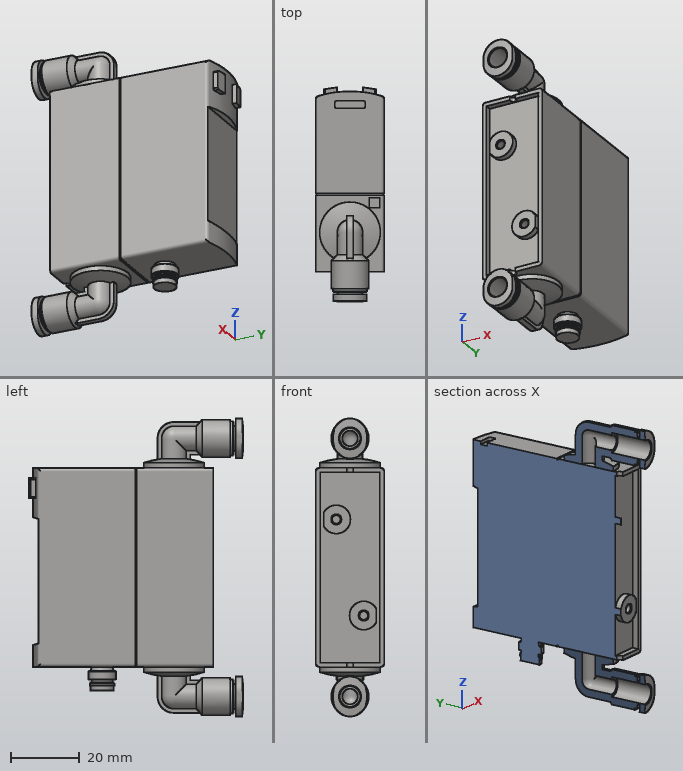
import cadquery as cq
import math

HOUSING_WIDTH = 20.0
HOUSING_HEIGHT = 58.0
SIDE_DEPTH = 51.0
CROWN_RISE = 1.6
EDGE_RADIUS = 1.0
HALF_WIDTH = HOUSING_WIDTH / 2
HALF_HEIGHT = HOUSING_HEIGHT / 2
CROWN_DEPTH = SIDE_DEPTH + CROWN_RISE

RECESS_TOP = 14.6
RECESS_BOTTOM = -22.6
RECESS_DRAFT = 0.5

TAB_INNER_X = 3.75
TAB_OUTER_X = 7.65
TAB_MIDDLE_Z = 23.1
TAB_HEIGHT = 6.0
TAB_CHAMFER = 0.5
TAB_ROOT_Y = SIDE_DEPTH
TAB_INNER_Y = 53.78
TAB_OUTER_Y = 53.2

GROOVE_MIDDLE_Y = 22.6
GROOVE_WIDTH = 0.45
GROOVE_DEPTH = 0.3

WALL = 1.3
POCKET_DEPTH = 2.0
BOSS_DIAMETER = 8.3
BOSS_X = 4.0
BOSS_Z = 14.0
BOSS_FLAT_X = 7.6
SCREW_HOLE_DIAMETER = 2.46
SCREW_HOLE_DEPTH = 6.0
SCREW_HOLE_CHAMFER = 0.3
NOTCH_WIDTH = 1.9
NOTCH_DEPTH = 1.5

SLOT_LENGTH = 8.8
SLOT_WIDTH = 2.2
SLOT_MIDDLE_Y = 48.7
SLOT_DEPTH = 1.0
SLOT_CORNER_RADIUS = 0.5
LABEL_SIZE = 3.0
LABEL_X = 7.1
LABEL_Y = 20.1
LABEL_DEPTH = 0.1

PLUG_Y = 32.4
PLUG_NECK_RADIUS = 3.1
PLUG_RADIUS = 3.4
PLUG_LENGTH = 6.9
PLUG_COLLAR_RADIUS = 4.05
PLUG_COLLAR_START = 1.1
PLUG_COLLAR_END = 3.75
PLUG_COLLAR_CHAMFER = 0.25
PLUG_NECK_END = 4.4
PLUG_BEAD_RADIUS = 3.6
PLUG_BEAD_START = 4.9
PLUG_BEAD_END = 5.4

FITTING_Y = 11.5
TUBE_AXIS_Z = 37.6
ELBOW_RADIUS = 7.4 / 2
BORE_RADIUS = 4.5 / 2
FLANGE_RADIUS = 17.7 / 2
FLANGE_HEIGHT = 1.5
DOME_HEIGHT = 1.4
RIB_WIDTH = 2.0
RIB_REACH = 4.8

SOCKET_RADIUS = 11.0 / 2
SOCKET_CONE_START_Y = 5.0
SOCKET_START_Y = 3.25
SOCKET_END_Y = -4.9
LIP_RADIUS = 10.0 / 2
LIP_END_Y = -5.9
LIP_CHAMFER = 0.3
SLEEVE_RADIUS = 7.4 / 2
RING_START_Y = -6.5
RING_RIM_Y = -8.4
RING_END_Y = -8.7
RING_WIDTH = 9.8
RING_HEIGHT = 11.7
TUBE_SOCKET_RADIUS = 6.0 / 2
MOUTH_RADIUS = 6.5 / 2


def block_between(x_range, y_range, z_range):
    """Plain box given by its limits along each axis."""
    size = [high - low for low, high in (x_range, y_range, z_range)]
    corner = cq.Vector(x_range[0], y_range[0], z_range[0])
    return cq.Workplane(cq.Solid.makeBox(*size, corner))


def crowned_block():
    """Block with rounded long edges and a rear face crowned across X."""
    plan = (
        cq.Workplane("XY", origin=(0, 0, -HALF_HEIGHT))
        .moveTo(-HALF_WIDTH, 0)
        .lineTo(HALF_WIDTH, 0)
        .lineTo(HALF_WIDTH, SIDE_DEPTH)
        .threePointArc((0, CROWN_DEPTH), (-HALF_WIDTH, SIDE_DEPTH))
        .close()
        .extrude(HOUSING_HEIGHT)
        .edges("|Z and (not <Y)")
        .fillet(EDGE_RADIUS)
    )
    profile = (
        cq.Workplane("XZ")
        .rect(HOUSING_WIDTH, HOUSING_HEIGHT)
        .extrude(-CROWN_DEPTH)
        .edges("|Y")
        .fillet(EDGE_RADIUS)
    )
    return plan.intersect(profile)


def rear_recess():
    """Cut that flattens the crown between its two ends."""
    return (
        cq.Workplane("YZ", origin=(-HALF_WIDTH, 0, 0))
        .moveTo(SIDE_DEPTH, RECESS_BOTTOM + RECESS_DRAFT)
        .lineTo(SIDE_DEPTH, RECESS_TOP - RECESS_DRAFT)
        .lineTo(CROWN_DEPTH, RECESS_TOP)
        .lineTo(CROWN_DEPTH, RECESS_BOTTOM)
        .close()
        .extrude(HOUSING_WIDTH)
    )


def rear_tab(side):
    """Sloped tab on the crown; side is -1 for the -X tab and +1 for the +X tab."""
    tab = (
        cq.Workplane("XY", origin=(0, 0, TAB_MIDDLE_Z - TAB_HEIGHT / 2))
        .moveTo(side * TAB_INNER_X, TAB_ROOT_Y)
        .lineTo(side * TAB_INNER_X, TAB_INNER_Y)
        .lineTo(side * TAB_OUTER_X, TAB_OUTER_Y)
        .lineTo(side * TAB_OUTER_X, TAB_ROOT_Y)
        .close()
        .extrude(TAB_HEIGHT)
    )
    outer_face = ">X" if side > 0 else "<X"
    return tab.faces(outer_face).edges("|Y").chamfer(TAB_CHAMFER)


def parting_groove():
    """Narrow rectangular ring cut around the four long faces."""
    return (
        cq.Workplane("XZ", origin=(0, GROOVE_MIDDLE_Y + GROOVE_WIDTH / 2, 0))
        .rect(HOUSING_WIDTH, HOUSING_HEIGHT)
        .rect(HOUSING_WIDTH - 2 * GROOVE_DEPTH, HOUSING_HEIGHT - 2 * GROOVE_DEPTH)
        .extrude(GROOVE_WIDTH)
    )


def front_pocket():
    """Rectangular pocket in the front face, inside the surrounding wall."""
    return (
        cq.Workplane("XZ")
        .rect(HOUSING_WIDTH - 2 * WALL, HOUSING_HEIGHT - 2 * WALL)
        .extrude(-POCKET_DEPTH)
    )


def screw_boss(side):
    """Round boss on the pocket floor, flattened on the side facing the wall."""
    boss = (
        cq.Workplane("XZ")
        .center(side * BOSS_X, -side * BOSS_Z)
        .circle(BOSS_DIAMETER / 2)
        .extrude(-POCKET_DEPTH)
    )
    keep = block_between(
        (-BOSS_FLAT_X, BOSS_FLAT_X), (0, POCKET_DEPTH), (-HALF_HEIGHT, HALF_HEIGHT)
    )
    return boss.intersect(keep)


def screw_hole(side):
    """Blind hole with a chamfered mouth at the front of a boss."""
    hole_radius = SCREW_HOLE_DIAMETER / 2
    mouth_radius = hole_radius + SCREW_HOLE_CHAMFER
    return (
        cq.Workplane("XY", origin=(side * BOSS_X, 0, -side * BOSS_Z))
        .lineTo(mouth_radius, 0)
        .lineTo(hole_radius, SCREW_HOLE_CHAMFER)
        .lineTo(hole_radius, SCREW_HOLE_DEPTH)
        .lineTo(0, SCREW_HOLE_DEPTH)
        .close()
        .revolve(360, (0, 0), (0, 1))
    )


def wall_notches():
    """Round-ended notch through the middle of the top and bottom front walls."""
    end_radius = NOTCH_WIDTH / 2
    straight = NOTCH_DEPTH - end_radius
    return (
        cq.Workplane("XY", origin=(0, 0, -HALF_HEIGHT))
        .moveTo(-end_radius, 0)
        .lineTo(-end_radius, straight)
        .threePointArc((0, NOTCH_DEPTH), (end_radius, straight))
        .lineTo(end_radius, 0)
        .close()
        .extrude(HOUSING_HEIGHT)
    )


def top_slot():
    """Shallow rounded slot near the rear of the top face."""
    return (
        cq.Workplane("XY", origin=(0, SLOT_MIDDLE_Y, HALF_HEIGHT - SLOT_DEPTH))
        .rect(SLOT_LENGTH, SLOT_WIDTH)
        .extrude(SLOT_DEPTH)
        .edges("|Z")
        .fillet(SLOT_CORNER_RADIUS)
    )


def label_recess():
    """Very shallow square recess in the top face."""
    return (
        cq.Workplane("XY", origin=(LABEL_X, LABEL_Y, HALF_HEIGHT - LABEL_DEPTH))
        .rect(LABEL_SIZE, LABEL_SIZE)
        .extrude(LABEL_DEPTH)
    )


def plug():
    """Stepped round connector hanging from the bottom face."""
    collar_shoulder = PLUG_COLLAR_RADIUS - PLUG_COLLAR_CHAMFER
    return (
        cq.Workplane("XZ", origin=(0, PLUG_Y, -HALF_HEIGHT))
        .lineTo(PLUG_NECK_RADIUS, 0)
        .lineTo(PLUG_RADIUS, -PLUG_COLLAR_START)
        .lineTo(collar_shoulder, -PLUG_COLLAR_START)
        .lineTo(PLUG_COLLAR_RADIUS, -PLUG_COLLAR_START - PLUG_COLLAR_CHAMFER)
        .lineTo(PLUG_COLLAR_RADIUS, -PLUG_COLLAR_END + PLUG_COLLAR_CHAMFER)
        .lineTo(collar_shoulder, -PLUG_COLLAR_END)
        .lineTo(PLUG_NECK_RADIUS, -PLUG_COLLAR_END)
        .lineTo(PLUG_NECK_RADIUS, -PLUG_NECK_END)
        .lineTo(PLUG_RADIUS, -PLUG_NECK_END)
        .lineTo(PLUG_RADIUS, -PLUG_BEAD_START)
        .lineTo(PLUG_BEAD_RADIUS, -PLUG_BEAD_START)
        .lineTo(PLUG_BEAD_RADIUS, -PLUG_BEAD_END)
        .lineTo(PLUG_RADIUS, -PLUG_BEAD_END)
        .lineTo(PLUG_RADIUS, -PLUG_LENGTH)
        .lineTo(0, -PLUG_LENGTH)
        .close()
        .revolve(360, (0, 0), (0, 1))
    )


def make_housing():
    """Housing block with its pocket, bosses, tabs and plug, as one solid."""
    body = crowned_block().cut(rear_recess()).cut(parting_groove()).cut(front_pocket())
    body = body.cut(wall_notches()).cut(top_slot()).cut(label_recess())
    for side in (-1, 1):
        body = body.union(screw_boss(side)).cut(screw_hole(side)).union(rear_tab(side))
    return body.union(plug())


def flange():
    """Round foot of the fitting: a disc with a domed top, seated on the housing."""
    rim_z = HALF_HEIGHT + FLANGE_HEIGHT
    dome_top_z = rim_z + DOME_HEIGHT
    dome_radius = (FLANGE_RADIUS**2 + DOME_HEIGHT**2) / (2 * DOME_HEIGHT)
    middle_radius = FLANGE_RADIUS / 2
    middle_z = dome_top_z - dome_radius + math.sqrt(dome_radius**2 - middle_radius**2)
    return (
        cq.Workplane("XZ", origin=(0, FITTING_Y, 0))
        .moveTo(0, HALF_HEIGHT)
        .lineTo(FLANGE_RADIUS, HALF_HEIGHT)
        .lineTo(FLANGE_RADIUS, rim_z)
        .threePointArc((middle_radius, middle_z), (0, dome_top_z))
        .close()
        .revolve(360, (0, 0), (0, 1))
    )


def elbow_run(radius, front_y):
    """Right-angle run of round section with a ball corner, from the foot to front_y."""
    corner = cq.Vector(0, FITTING_Y, TUBE_AXIS_Z)
    foot = cq.Vector(0, FITTING_Y, HALF_HEIGHT)
    upright = cq.Solid.makeCylinder(radius, TUBE_AXIS_Z - HALF_HEIGHT, foot, cq.Vector(0, 0, 1))
    level = cq.Solid.makeCylinder(radius, FITTING_Y - front_y, corner, cq.Vector(0, -1, 0))
    ball = cq.Workplane("XY", origin=corner.toTuple()).sphere(radius)
    return ball.union(cq.Workplane(upright)).union(cq.Workplane(level))


def elbow_rib():
    """Flat rib in the bend plane, standing out on both sides of the elbow."""
    back_y = FITTING_Y + RIB_REACH
    top_z = TUBE_AXIS_Z + RIB_REACH
    inner_y = FITTING_Y - RIB_REACH
    inner_z = TUBE_AXIS_Z - RIB_REACH
    diagonal = RIB_REACH * math.sqrt(0.5)
    return (
        cq.Workplane("YZ", origin=(-RIB_WIDTH / 2, 0, 0))
        .moveTo(back_y, HALF_HEIGHT)
        .lineTo(back_y, TUBE_AXIS_Z)
        .threePointArc((FITTING_Y + diagonal, TUBE_AXIS_Z + diagonal), (FITTING_Y, top_z))
        .lineTo(SOCKET_START_Y, top_z)
        .lineTo(SOCKET_START_Y, inner_z)
        .lineTo(inner_y, inner_z)
        .lineTo(inner_y, HALF_HEIGHT)
        .close()
        .extrude(RIB_WIDTH)
    )


def tube_socket():
    """Turned outside of the push-in socket, with its lip and the release sleeve."""
    return (
        cq.Workplane("XY", origin=(0, 0, TUBE_AXIS_Z))
        .moveTo(0, SOCKET_CONE_START_Y)
        .lineTo(ELBOW_RADIUS, SOCKET_CONE_START_Y)
        .lineTo(SOCKET_RADIUS, SOCKET_START_Y)
        .lineTo(SOCKET_RADIUS, SOCKET_END_Y)
        .lineTo(LIP_RADIUS, SOCKET_END_Y)
        .lineTo(LIP_RADIUS, LIP_END_Y + LIP_CHAMFER)
        .lineTo(LIP_RADIUS - LIP_CHAMFER, LIP_END_Y)
        .lineTo(SLEEVE_RADIUS, LIP_END_Y)
        .lineTo(SLEEVE_RADIUS, RING_START_Y)
        .lineTo(0, RING_START_Y)
        .close()
        .revolve(360, (0, 0), (0, 1))
    )


def release_ring():
    """Oblong release ring with a slightly coned front face."""
    oblong = (
        cq.Workplane("XZ", origin=(0, RING_START_Y, TUBE_AXIS_Z))
        .slot2D(RING_HEIGHT, RING_WIDTH, 90)
        .extrude(RING_START_Y - RING_END_Y)
    )
    coned_front = (
        cq.Workplane("XY", origin=(0, 0, TUBE_AXIS_Z))
        .moveTo(0, RING_START_Y)
        .lineTo(RING_HEIGHT / 2, RING_START_Y)
        .lineTo(RING_HEIGHT / 2, RING_RIM_Y)
        .lineTo(MOUTH_RADIUS, RING_END_Y)
        .lineTo(0, RING_END_Y)
        .close()
        .revolve(360, (0, 0), (0, 1))
    )
    return oblong.intersect(coned_front)


def tube_hole():
    """Hole for the tube, with a chamfered mouth in the release ring."""
    mouth_chamfer = MOUTH_RADIUS - TUBE_SOCKET_RADIUS
    return (
        cq.Workplane("XY", origin=(0, 0, TUBE_AXIS_Z))
        .moveTo(0, RING_END_Y)
        .lineTo(MOUTH_RADIUS, RING_END_Y)
        .lineTo(TUBE_SOCKET_RADIUS, RING_END_Y + mouth_chamfer)
        .lineTo(TUBE_SOCKET_RADIUS, SOCKET_START_Y)
        .lineTo(0, SOCKET_START_Y)
        .close()
        .revolve(360, (0, 0), (0, 1))
    )


def make_fitting():
    """Push-in elbow fitting seated on the top face, as one solid."""
    outside = (
        flange()
        .union(elbow_run(ELBOW_RADIUS, SOCKET_START_Y))
        .union(elbow_rib())
        .union(tube_socket())
        .union(release_ring())
    )
    return outside.cut(elbow_run(BORE_RADIUS, SOCKET_START_Y)).cut(tube_hole())


housing = make_housing()

fittings = []
for turn in (0, 180):
    fittings.append(make_fitting().rotate((0, 0, 0), (0, 1, 0), turn))

result = cq.Compound.makeCompound([housing.val(), *[fitting.val() for fitting in fittings]])